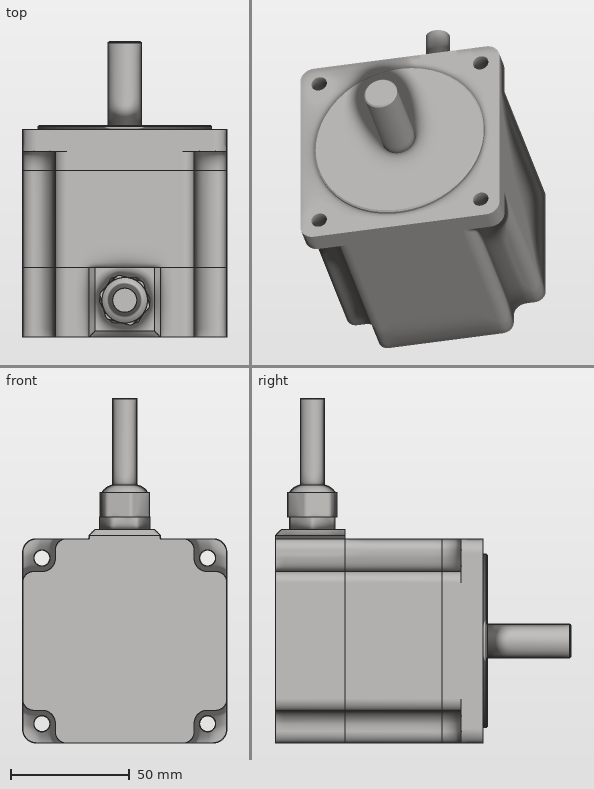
import cadquery as cq
import math


overall_height = 144.8
body_width = 85.9

flange_thickness = 9.3
front_length = 17.2
stator_length = 40.8
rear_length = 29.3

corner_radius = 5.8
notch_size = 13.8
notch_inner_radius = 5.5
notch_outer_radius = 4.6
hole_spacing = 69.7
hole_diameter = 6.7

pilot_diameter = 73.0
pilot_height = 1.7
pilot_chamfer = 0.6

shaft_diameter = 14.2
shaft_reach = 37.0
shaft_chamfer = 0.6

pad_width = 30.0
pad_height = 3.9
pad_bevel = 2.5
pad_foot_radius = 0.5

gland_to_rear = 15.5
hex_across_flats = 19.1
hex_edge_radius = 2.0
gland_base_height = 5.2
gland_nut_height = 10.5
gland_nut_angle = 45.0
dome_height = 3.0
dome_bulge = 0.6
cable_diameter = 10.1

half_width = body_width / 2
stator_front_y = -front_length
rear_front_y = stator_front_y - stator_length
rear_face_y = rear_front_y - rear_length
gland_y = rear_face_y + gland_to_rear
pad_top_z = half_width + pad_height
nut_bottom_z = pad_top_z + gland_base_height
dome_bottom_z = nut_bottom_z + gland_nut_height
dome_top_z = dome_bottom_z + dome_height
cable_top_z = overall_height - half_width


def square_block(front_y, length):
    """Square block that runs from front_y toward the rear."""
    return cq.Workplane("XZ", origin=(0, front_y, 0)).rect(body_width, body_width).extrude(length)


def notched_block(front_y, length):
    """Square block with a rounded relief along each of its four long corners."""
    arm = body_width - 2 * notch_size
    plane = cq.Workplane("XZ", origin=(0, front_y, 0))
    wide = plane.rect(body_width, arm).extrude(length)
    tall = plane.rect(arm, body_width).extrude(length)
    wide = wide.edges("|Y").fillet(notch_outer_radius)
    tall = tall.edges("|Y").fillet(notch_outer_radius)
    inner_reach = arm / 2 + notch_inner_radius
    inner_corners = cq.selectors.BoxSelector(
        (-inner_reach, front_y - length, -inner_reach),
        (inner_reach, front_y, inner_reach),
    )
    return wide.union(tall).edges("|Y").edges(inner_corners).fillet(notch_inner_radius)


def front_cover():
    """Flange plate with mounting holes and pilot, on a notched rear section."""
    plate = square_block(0, flange_thickness).edges("|Y").fillet(corner_radius)
    plate = (
        plate.faces(">Y")
        .workplane(origin=(0, 0, 0))
        .rect(hole_spacing, hole_spacing, forConstruction=True)
        .vertices()
        .hole(hole_diameter)
    )
    section = notched_block(-flange_thickness, front_length - flange_thickness)
    pilot = (
        cq.Workplane("XZ")
        .circle(pilot_diameter / 2)
        .extrude(-pilot_height)
        .faces(">Y")
        .chamfer(pilot_chamfer)
    )
    return plate.union(section).union(pilot)


def motor_shaft():
    """Round shaft that stands on the pilot face, with a chamfered end."""
    return (
        cq.Workplane("XZ", origin=(0, pilot_height, 0))
        .circle(shaft_diameter / 2)
        .extrude(pilot_height - shaft_reach)
        .faces(">Y")
        .chamfer(shaft_chamfer)
    )


def gland_pad():
    """Pad on top of the rear cover, bevelled at both sides and at the rear."""
    pad = cq.Workplane("XY", origin=(0, rear_face_y + rear_length / 2, 0))
    pad = pad.rect(pad_width, rear_length).extrude(pad_top_z)
    return pad.faces(">Z").edges("<X or >X or <Y").chamfer(pad_bevel)


def gland_hex(bottom_z, height, angle):
    """Hexagon on the gland axis with rounded edges; angle turns it about Z."""
    across_corners = hex_across_flats / math.cos(math.pi / 6)
    return (
        cq.Workplane("XY")
        .polygon(6, across_corners)
        .extrude(height)
        .edges("|Z")
        .fillet(hex_edge_radius)
        .rotate((0, 0, 0), (0, 0, 1), angle)
        .translate((0, gland_y, bottom_z))
    )


def gland_dome_and_cable():
    """Convex dome on the nut and the round cable that leaves it, as one revolved shape."""
    cable_radius = cable_diameter / 2
    return (
        cq.Workplane("XZ", origin=(0, gland_y, 0))
        .moveTo(0, dome_bottom_z)
        .lineTo(hex_across_flats / 2, dome_bottom_z)
        .sagittaArc((cable_radius, dome_top_z), -dome_bulge)
        .lineTo(cable_radius, cable_top_z)
        .lineTo(0, cable_top_z)
        .close()
        .revolve(360, (0, 0, 0), (0, 1, 0))
    )


def padded_section():
    """Notched rear section with its pad, blended where the pad sides meet the top face."""
    section = notched_block(rear_front_y, rear_length).union(gland_pad())
    pad_foot = cq.selectors.BoxSelector(
        (-pad_width, rear_face_y, half_width - pad_foot_radius),
        (pad_width, rear_front_y, half_width + pad_foot_radius),
    )
    return section.edges("|Y").edges(pad_foot).fillet(pad_foot_radius)


def rear_cover():
    """Rear section that carries the cable gland and the cable."""
    return (
        padded_section()
        .union(gland_hex(pad_top_z, gland_base_height, 0))
        .union(gland_hex(nut_bottom_z, gland_nut_height, gland_nut_angle))
        .union(gland_dome_and_cable())
    )


front = front_cover()
stator = notched_block(stator_front_y, stator_length)
rear = rear_cover()
shaft = motor_shaft()

result = cq.Compound.makeCompound([front.val(), stator.val(), rear.val(), shaft.val()])